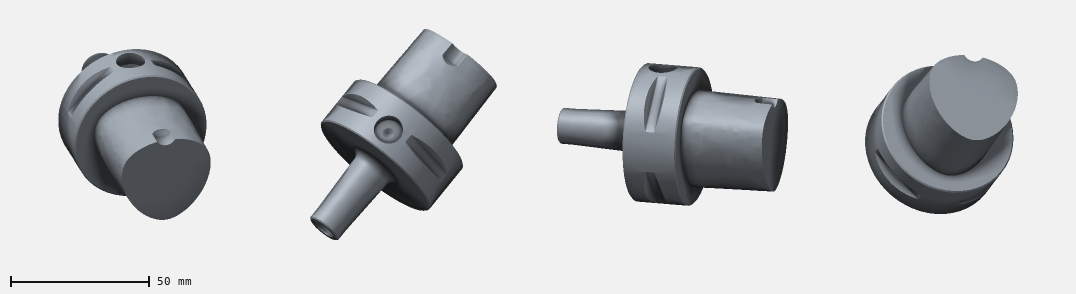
import cadquery as cq
import math

flange_start = 30.0
flange_end = 50.0
overall_length = 80.0

tip_diameter = 13.0
tip_length = 4.8
tip_chamfer = 0.5
taper_end_diameter = 14.8
taper_end = 26.0
fillet_start = 27.2
fillet_radius = 3.0
bore_diameter = 8.5
bore_depth = 24.0

flange_diameter = 50.0
flange_chamfer = 0.5
face_recess_radius = 11.8

slot_center = 40.0
slot_floor_width = 3.4
slot_floor_distance = 22.2
slot_wall_angle = 30.0
slot_floor_fillet = 0.4
slot_overcut = 0.8
slot_angles = (45, 135, 225, 315)

pocket_center = 38.0
pocket_diameter = 10.5
pocket_floor_bevel = 0.2
pocket_floor_height = 20.0
dimple_diameter = 4.0
dimple_depth = 1.1

shank_mean_radius = 17.5
shank_taper = 1 / 40
lobe_height = 1.0
lobe_count = 3
shank_end_radius = shank_mean_radius - shank_taper * (overall_length - flange_end)
points_per_lobe = 16

key_radius = 4.0
key_width = 7.2
key_length = 5.6
key_dome_radius = 4.9


def make_turned_body():
    """Nose and flange as one profile revolved about X."""
    tip_radius = tip_diameter / 2
    neck_radius = taper_end_diameter / 2
    flange_radius = flange_diameter / 2
    arc_center_radius = neck_radius + fillet_radius
    rim_axial = flange_start - fillet_start
    rim_radial = face_recess_radius - arc_center_radius
    rim_distance = math.hypot(rim_axial, rim_radial)
    tangent_angle = math.atan2(rim_radial, rim_axial) - math.acos(fillet_radius / rim_distance)

    def fillet_point(angle):
        """Point on the fillet arc, with the angle measured from +X outwards."""
        return (
            fillet_start + fillet_radius * math.cos(angle),
            arc_center_radius + fillet_radius * math.sin(angle),
        )

    profile = (
        cq.Workplane("XY")
        .lineTo(0, tip_radius - tip_chamfer)
        .lineTo(tip_chamfer, tip_radius)
        .lineTo(tip_length, tip_radius)
        .lineTo(taper_end, neck_radius)
        .lineTo(fillet_start, neck_radius)
        .threePointArc(fillet_point(-math.pi / 4), fillet_point(tangent_angle))
        .lineTo(flange_start, face_recess_radius)
        .lineTo(flange_start, flange_radius - flange_chamfer)
        .lineTo(flange_start + flange_chamfer, flange_radius)
        .lineTo(flange_end - flange_chamfer, flange_radius)
        .lineTo(flange_end, flange_radius - flange_chamfer)
        .lineTo(flange_end, 0)
        .close()
    )
    return profile.revolve(360, (0, 0, 0), (1, 0, 0))


def lobed_wire(x, mean_radius):
    """Constant-width outline with one lobe pointing to -Z, in the plane at x."""
    count = lobe_count * points_per_lobe
    points = []
    for i in range(count):
        angle = 2 * math.pi * i / count
        support = mean_radius + lobe_height * math.cos(lobe_count * angle)
        slope = -lobe_count * lobe_height * math.sin(lobe_count * angle)
        down = support * math.cos(angle) - slope * math.sin(angle)
        side = support * math.sin(angle) + slope * math.cos(angle)
        points.append(cq.Vector(x, side, -down))
    return cq.Wire.assembleEdges([cq.Edge.makeSpline(points, periodic=True)])


def make_shank():
    wires = [lobed_wire(flange_end, shank_mean_radius), lobed_wire(overall_length, shank_end_radius)]
    return cq.Workplane(obj=cq.Solid.makeLoft(wires, True))


def make_gripper_slot(angle):
    """Straight slot with sloping walls, cut across a chord of the flange."""
    height = flange_diameter / 2 - slot_floor_distance + slot_overcut
    half_floor = slot_floor_width / 2
    half_top = half_floor + height * math.tan(math.radians(slot_wall_angle))
    top = slot_floor_distance + height
    slot = (
        cq.Workplane("XZ")
        .moveTo(slot_center - half_floor, slot_floor_distance)
        .lineTo(slot_center + half_floor, slot_floor_distance)
        .lineTo(slot_center + half_top, top)
        .lineTo(slot_center - half_top, top)
        .close()
        .extrude(flange_diameter / 2, both=True)
        .edges("|Y and <Z")
        .fillet(slot_floor_fillet)
    )
    return slot.rotate((0, 0, 0), (1, 0, 0), angle)


def make_pocket():
    """Round pocket with a bevelled floor edge and a conical dimple in its floor."""
    radius = pocket_diameter / 2
    top = flange_diameter / 2
    profile = (
        cq.Workplane("XZ", origin=(pocket_center, 0, 0))
        .moveTo(0, pocket_floor_height - dimple_depth)
        .lineTo(dimple_diameter / 2, pocket_floor_height)
        .lineTo(radius - pocket_floor_bevel, pocket_floor_height)
        .lineTo(radius, pocket_floor_height + pocket_floor_bevel)
        .lineTo(radius, top)
        .lineTo(0, top)
        .close()
    )
    return profile.revolve(360, (0, 0, 0), (0, 1, 0))


def make_key_slot():
    """Round-bottomed slot along X ending in a shallow spherical dome."""
    axis_height = shank_end_radius - lobe_height + math.sqrt(key_radius**2 - (key_width / 2) ** 2)
    dome_base = overall_length - key_length
    dome_center = dome_base + math.sqrt(key_dome_radius**2 - key_radius**2)
    half_angle = math.asin(key_radius / key_dome_radius) / 2
    dome_middle = (
        dome_center - key_dome_radius * math.cos(half_angle),
        key_dome_radius * math.sin(half_angle),
    )
    profile = (
        cq.Workplane("XZ", origin=(0, 0, axis_height))
        .moveTo(dome_center - key_dome_radius, 0)
        .threePointArc(dome_middle, (dome_base, key_radius))
        .lineTo(overall_length, key_radius)
        .lineTo(overall_length, 0)
        .close()
    )
    return profile.revolve(360, (0, 0, 0), (1, 0, 0))


bore = cq.Workplane("YZ").circle(bore_diameter / 2).extrude(bore_depth)

result = make_turned_body().union(make_shank()).cut(bore)
for slot_angle in slot_angles:
    result = result.cut(make_gripper_slot(slot_angle))
result = result.cut(make_pocket()).cut(make_key_slot())